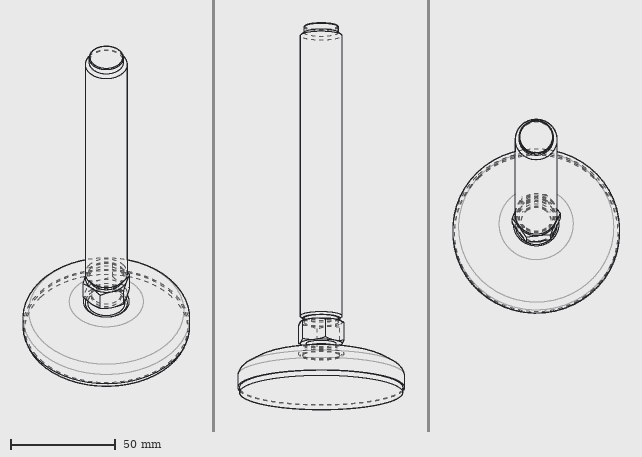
import cadquery as cq
import math


total_height = 179.2
base_diameter = 79.7
pad_diameter = 78.1
pad_height = 2.5
wall_top = 8.6
dome_edge_diameter = 74.2
dome_edge_height = 12.7
base_height = 19.0
top_flat_diameter = 35.5

recess_floor_diameter = 20.0
recess_depth = 0.9
recess_flare = 0.9

neck_diameter = 14.3
ball_diameter = 18.0
neck_bottom = 22.4

hexagon_bottom = 24.0
hexagon_height = 10.4
across_flats = 20.0
hexagon_sides = 6
hexagon_chamfer_angle = 30.0

spindle_diameter = 20.0
undercut_diameter = 16.5
undercut_height = 2.0
spindle_bottom_chamfer = 1.0
spindle_top_chamfer_height = 1.5
tip_diameter = 16.5
tip_length = 3.2
tip_chamfer = 0.45

hexagon_top = hexagon_bottom + hexagon_height
recess_floor = base_height - recess_depth


def make_base():
    """Domed base, revolved, with a tapered recess around the ball."""
    dome_run = (dome_edge_diameter - top_flat_diameter) / 2
    dome_drop = base_height - dome_edge_height
    dome_radius = (dome_run**2 + dome_drop**2) / (2 * dome_drop)
    dome_end_angle = math.asin(dome_run / dome_radius)
    dome_middle = (
        top_flat_diameter / 2 + dome_radius * math.sin(dome_end_angle / 2),
        base_height - dome_radius * (1 - math.cos(dome_end_angle / 2)),
    )
    profile = (
        cq.Workplane("XZ")
        .lineTo(0, base_height)
        .lineTo(top_flat_diameter / 2, base_height)
        .threePointArc(dome_middle, (dome_edge_diameter / 2, dome_edge_height))
        .tangentArcPoint((base_diameter / 2, wall_top), relative=False)
        .lineTo(base_diameter / 2, pad_height)
        .lineTo(pad_diameter / 2, pad_height)
        .lineTo(pad_diameter / 2, 0)
        .close()
    )
    base = profile.revolve()
    recess = (
        cq.Workplane("XZ")
        .moveTo(0, recess_floor)
        .lineTo(recess_floor_diameter / 2, recess_floor)
        .lineTo(recess_floor_diameter / 2 + recess_flare, base_height)
        .lineTo(0, base_height)
        .close()
        .revolve()
    )
    return base.cut(recess)


def make_neck():
    """Round neck standing on a ball that is seated in the base."""
    neck_radius = neck_diameter / 2
    ball_radius = ball_diameter / 2
    ball_center = neck_bottom - math.sqrt(ball_radius**2 - neck_radius**2)
    ball = cq.Workplane("XY", origin=(0, 0, ball_center)).sphere(ball_radius)
    neck = (
        cq.Workplane("XY", origin=(0, 0, ball_center))
        .circle(neck_radius)
        .extrude(hexagon_bottom - ball_center)
    )
    return ball.union(neck)


def make_hexagon():
    """Hexagon with its corners turned off by a cone at both ends."""
    across_corners = across_flats / math.cos(math.pi / hexagon_sides)
    corner_drop = (across_corners - across_flats) / 2 * math.tan(math.radians(hexagon_chamfer_angle))
    prism = (
        cq.Workplane("XY", origin=(0, 0, hexagon_bottom))
        .polygon(hexagon_sides, across_corners)
        .extrude(hexagon_height)
        .rotate((0, 0, 0), (0, 0, 1), 90)
    )
    turned_envelope = (
        cq.Workplane("XZ")
        .moveTo(0, hexagon_bottom)
        .lineTo(across_flats / 2, hexagon_bottom)
        .lineTo(across_corners / 2, hexagon_bottom + corner_drop)
        .lineTo(across_corners / 2, hexagon_top - corner_drop)
        .lineTo(across_flats / 2, hexagon_top)
        .lineTo(0, hexagon_top)
        .close()
        .revolve()
    )
    return prism.intersect(turned_envelope)


def make_spindle():
    """Spindle with an undercut above the hexagon and a reduced, chamfered tip."""
    spindle_radius = spindle_diameter / 2
    tip_radius = tip_diameter / 2
    spindle_bottom = hexagon_top + undercut_height
    tip_bottom = total_height - tip_length
    return (
        cq.Workplane("XZ")
        .moveTo(0, hexagon_top)
        .lineTo(undercut_diameter / 2, hexagon_top)
        .lineTo(undercut_diameter / 2, spindle_bottom)
        .lineTo(spindle_radius - spindle_bottom_chamfer, spindle_bottom)
        .lineTo(spindle_radius, spindle_bottom + spindle_bottom_chamfer)
        .lineTo(spindle_radius, tip_bottom - spindle_top_chamfer_height)
        .lineTo(tip_radius, tip_bottom)
        .lineTo(tip_radius, total_height - tip_chamfer)
        .lineTo(tip_radius - tip_chamfer, total_height)
        .lineTo(0, total_height)
        .close()
        .revolve()
    )


result = make_base().union(make_neck()).union(make_hexagon()).union(make_spindle())